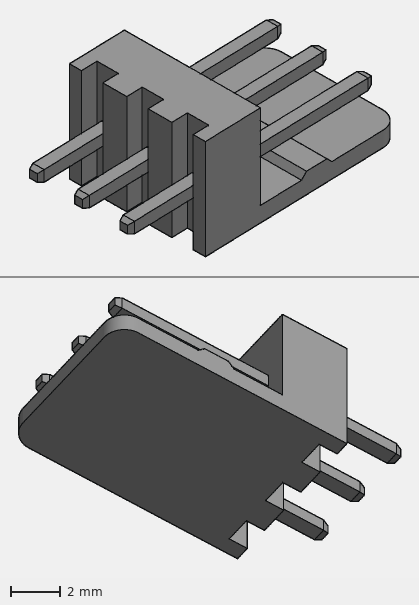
import cadquery as cq

width = 7.67
length = 14.8
height = 5.8

wall_front = 3.43
wall_back = 6.65
slot_width = 1.2
slot_depth = 0.9

plate_thickness = 0.89
corner_radius = 0.99
ridge_front = 9.05
ridge_back = 10.82
ridge_height = 0.3

pin_count = 3
pin_pitch = 2.55
pin_size = 0.64
pin_tip_size = 0.45
pin_tip_length = 0.3
pin_back = 14.22
pin_height = 2.63


def make_housing():
    """L-shaped side profile with a 45-degree ridge, extruded across the width."""
    ridge_top = plate_thickness + ridge_height
    profile = [
        (wall_front, 0),
        (length, 0),
        (length, plate_thickness),
        (ridge_back, plate_thickness),
        (ridge_back - ridge_height, ridge_top),
        (ridge_front + ridge_height, ridge_top),
        (ridge_front, plate_thickness),
        (wall_back, plate_thickness),
        (wall_back, height),
        (wall_front, height),
    ]
    housing = cq.Workplane("YZ").polyline(profile).close().extrude(width / 2, both=True)
    return housing.edges("|Z and >Y").fillet(corner_radius)


def make_slot(x):
    """Full-height slot volume at the front of the wall."""
    slot = cq.Workplane("XY").box(slot_width, slot_depth, height, centered=(True, False, False))
    return slot.translate((x, wall_front, 0))


def make_tip(x, y_base, y_end):
    """Tapered pin end from the full section at y_base to the small one at y_end."""
    return (
        cq.Workplane("XZ", origin=(x, y_base, pin_height))
        .rect(pin_size, pin_size)
        .workplane(offset=y_base - y_end)
        .rect(pin_tip_size, pin_tip_size)
        .loft(ruled=True)
    )


def make_pin(x):
    """Square pin along Y, tapered at both ends."""
    shank_front = pin_tip_length
    shank_back = pin_back - pin_tip_length
    shank = (
        cq.Workplane("XY")
        .box(pin_size, shank_back - shank_front, pin_size, centered=(True, False, True))
        .translate((x, shank_front, pin_height))
    )
    front_tip = make_tip(x, shank_front, 0)
    back_tip = make_tip(x, shank_back, pin_back)
    return shank.union(front_tip).union(back_tip)


pin_positions = [(i - (pin_count - 1) / 2) * pin_pitch for i in range(pin_count)]

result = make_housing()
for pin_x in pin_positions:
    result = result.cut(make_slot(pin_x)).union(make_pin(pin_x))